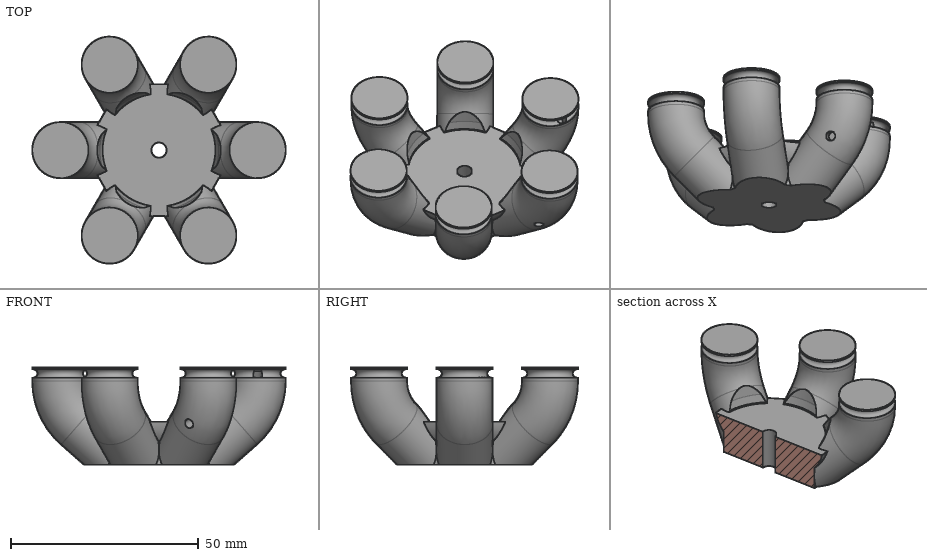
import cadquery as cq
import math

TUBE_COUNT = 6
SPAN = 67.7
HEIGHT = 26.0
TUBE_RADIUS = 7.5
TUBE_CENTER = SPAN / 2 - TUBE_RADIUS

BEND_TOP = 22.4
BEND_RADIUS = 15.0
BEND_ANGLE = 48.7
LEG_LENGTH = 23.0

GROOVE_RADIUS = 1.1
GROOVE_DEPTH = 1.4
GROOVE_Z = 24.35

HUB_RADIUS = 15.0
HUB_HEIGHT = 11.5
BORE_DIAMETER = 4.0

WEB_REACH = 17.6
WEB_BASE_Z = 6.4
WEB_BULGE = 0.35
WEB_WIDTH = 5.4

RIM_HEIGHT = 0.4
FLARE_MID_RADIUS = 15.85
FLARE_MID_Z = 14.1
FLARE_TOP_RADIUS = 16.65
FLARE_TOP_Z = 17.6

SIDE_HOLE_DIAMETER = 2.5
BEND_HOLE_DEPTH = 4.05
GROOVE_HOLE_DEPTH = 3.4
BEND_HOLE_CLEARANCE = 1.35
GROOVE_HOLE_CLEARANCE = 1.1
BEND_HOLE_TUBE_ANGLE = -60.0
BEND_HOLE_SWEEP = 36.5
BEND_HOLE_TILT = 34.0
GROOVE_HOLE_DESCENT = 55.0
GROOVE_HOLE_MOUTH_Z = 23.7


def rotated(shape, angle):
    """Turn a shape about the hub axis."""
    return shape.rotate((0, 0, 0), (0, 0, 1), angle)


def make_tube():
    """Bent solid tube in the XZ plane with a grooved head."""
    bend = math.radians(BEND_ANGLE)
    pivot_x = TUBE_CENTER - BEND_RADIUS

    def on_bend(angle):
        return (pivot_x + BEND_RADIUS * math.cos(angle), BEND_TOP - BEND_RADIUS * math.sin(angle))

    bend_end = on_bend(bend)
    leg_end = (
        bend_end[0] - LEG_LENGTH * math.sin(bend),
        bend_end[1] - LEG_LENGTH * math.cos(bend),
    )
    path = (
        cq.Workplane("XZ")
        .moveTo(TUBE_CENTER, HEIGHT)
        .lineTo(TUBE_CENTER, BEND_TOP)
        .threePointArc(on_bend(bend / 2), bend_end)
        .lineTo(*leg_end)
    )
    tube = cq.Workplane("XY", origin=(TUBE_CENTER, 0, HEIGHT)).circle(TUBE_RADIUS).sweep(path)

    groove_center = TUBE_RADIUS - GROOVE_DEPTH + GROOVE_RADIUS
    groove = (
        cq.Workplane("XZ", origin=(TUBE_CENTER, 0, GROOVE_Z))
        .moveTo(TUBE_RADIUS + 0.7, -GROOVE_RADIUS)
        .lineTo(groove_center, -GROOVE_RADIUS)
        .threePointArc((TUBE_RADIUS - GROOVE_DEPTH, 0), (groove_center, GROOVE_RADIUS))
        .lineTo(TUBE_RADIUS + 0.7, GROOVE_RADIUS)
        .close()
        .revolve(360, (0, 0, 0), (0, 1, 0))
    )
    below_base = cq.Workplane("XY").box(2 * SPAN, SPAN, SPAN, centered=(True, True, False))
    return tube.cut(groove).cut(below_base.translate((0, 0, -SPAN)))


def make_web():
    """Web along +X with a straight outer edge and a bulged underside."""
    middle = (
        (HUB_RADIUS + WEB_REACH) / 2 + WEB_BULGE,
        (WEB_BASE_Z + HUB_HEIGHT) / 2 - WEB_BULGE,
    )
    return (
        cq.Workplane("XZ")
        .moveTo(0, HUB_HEIGHT)
        .lineTo(WEB_REACH, HUB_HEIGHT)
        .threePointArc(middle, (HUB_RADIUS, WEB_BASE_Z))
        .lineTo(0, WEB_BASE_Z)
        .close()
        .extrude(WEB_WIDTH / 2, both=True)
    )


def make_clearance():
    """Flared round space above the hub, cut into the inner side of the tubes."""
    return (
        cq.Workplane("XZ")
        .moveTo(0, HUB_HEIGHT)
        .lineTo(HUB_RADIUS, HUB_HEIGHT)
        .lineTo(HUB_RADIUS, HUB_HEIGHT + RIM_HEIGHT)
        .lineTo(FLARE_MID_RADIUS, FLARE_MID_Z)
        .lineTo(FLARE_TOP_RADIUS, FLARE_TOP_Z)
        .lineTo(0, FLARE_TOP_Z)
        .close()
        .revolve(360, (0, 0, 0), (0, 1, 0))
    )


def side_hole(mouth, outward, depth, clearance):
    """Cutter for a blind round hole, reaching from its depth to a clearance outside its mouth."""
    direction = cq.Vector(*outward)
    bottom = cq.Vector(*mouth) - direction * depth
    cylinder = cq.Solid.makeCylinder(SIDE_HOLE_DIAMETER / 2, depth + clearance, bottom, direction)
    return cq.Workplane(cylinder)


def make_bend_hole():
    """Hole square to the bend surface of one tube, on its side and tilted outwards."""
    sweep = math.radians(BEND_HOLE_SWEEP)
    tilt = math.radians(BEND_HOLE_TILT)
    center = (
        TUBE_CENTER - BEND_RADIUS + BEND_RADIUS * math.cos(sweep),
        0,
        BEND_TOP - BEND_RADIUS * math.sin(sweep),
    )
    outward = (
        math.sin(tilt) * math.cos(sweep),
        -math.cos(tilt),
        -math.sin(tilt) * math.sin(sweep),
    )
    mouth = [middle + TUBE_RADIUS * step for middle, step in zip(center, outward)]
    hole = side_hole(mouth, outward, BEND_HOLE_DEPTH, BEND_HOLE_CLEARANCE)
    return rotated(hole, BEND_HOLE_TUBE_ANGLE)


def make_groove_hole():
    """Hole from the groove of the +X tube, descending towards the tube axis."""
    descent = math.radians(GROOVE_HOLE_DESCENT)
    mouth = (TUBE_CENTER, GROOVE_DEPTH - TUBE_RADIUS, GROOVE_HOLE_MOUTH_Z)
    outward = (0, -math.cos(descent), math.sin(descent))
    return side_hole(mouth, outward, GROOVE_HOLE_DEPTH, GROOVE_HOLE_CLEARANCE)


pitch = 360 / TUBE_COUNT
tube = make_tube()
web = make_web()
result = cq.Workplane("XY").circle(HUB_RADIUS).extrude(HUB_HEIGHT)
for index in range(TUBE_COUNT):
    result = result.union(rotated(tube, index * pitch))
    result = result.union(rotated(web, (index + 0.5) * pitch))

bore = cq.Workplane("XY").circle(BORE_DIAMETER / 2).extrude(HUB_HEIGHT)
result = result.cut(make_clearance()).cut(bore).cut(make_groove_hole()).cut(make_bend_hole())